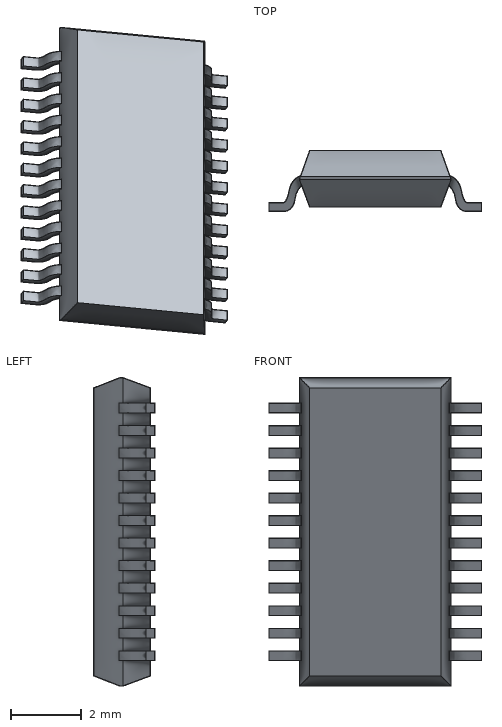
import cadquery as cq
import math

body_width = 4.28
body_length = 8.7
front_depth = 0.78
back_depth = 0.82
side_inset = 0.29
end_inset = 0.29
end_land = 0.08

leads_per_side = 12
lead_pitch = 0.635
lead_width = 0.28
lead_thickness = 0.25
lead_span = 6.0
standoff = 0.12
foot_length = 0.415
foot_bend_radius = 0.18
shoulder_bend_radius = 0.33
lead_angle = math.radians(72)
lead_embed = 0.4

half_width = body_width / 2
half_length = body_length / 2


def make_body():
    """Long sides and short ends are two tapered prisms; the body is what they share."""
    face_half_width = half_width - side_inset
    face_half_length = half_length - end_inset
    sides = (
        cq.Workplane("XY")
        .moveTo(-face_half_width, -front_depth)
        .lineTo(face_half_width, -front_depth)
        .lineTo(half_width, 0)
        .lineTo(face_half_width, back_depth)
        .lineTo(-face_half_width, back_depth)
        .lineTo(-half_width, 0)
        .close()
        .extrude(half_length, both=True)
    )
    ends = (
        cq.Workplane("YZ")
        .moveTo(-front_depth, -face_half_length)
        .lineTo(0, -half_length)
        .lineTo(end_land, -half_length)
        .lineTo(back_depth, -face_half_length)
        .lineTo(back_depth, face_half_length)
        .lineTo(end_land, half_length)
        .lineTo(0, half_length)
        .lineTo(-front_depth, face_half_length)
        .close()
        .extrude(half_width, both=True)
    )
    return sides.intersect(ends)


def make_lead():
    """One lead on the +X side, centred on Z = 0; each bent skin is one smooth curve."""
    half_thickness = lead_thickness / 2
    toe_x = lead_span / 2
    foot_y = -front_depth - standoff + half_thickness
    foot_x = toe_x - foot_length

    bend_radii = foot_bend_radius + shoulder_bend_radius
    shank_rise = -foot_y - bend_radii * (1 - math.cos(lead_angle))
    shank_run = shank_rise / math.tan(lead_angle)
    shoulder_x = foot_x - bend_radii * math.sin(lead_angle) - shank_run
    foot_center_y = foot_y + foot_bend_radius

    def shoulder_point(angle, offset):
        radius = shoulder_bend_radius + offset
        return (
            shoulder_x + radius * math.sin(angle),
            -shoulder_bend_radius + radius * math.cos(angle),
        )

    def foot_point(angle, offset):
        radius = foot_bend_radius - offset
        return (
            foot_x - radius * math.sin(angle),
            foot_center_y - radius * math.cos(angle),
        )

    def bend_points(offset):
        """Points of one skin of the lead, from the shoulder down to the foot."""
        shoulder = [shoulder_point(angle, offset) for angle in (0, lead_angle / 2, lead_angle)]
        foot = [foot_point(angle, offset) for angle in (lead_angle, lead_angle / 2, 0)]
        return shoulder + foot

    root_x = shoulder_x - lead_embed
    upper = bend_points(half_thickness)
    lower = bend_points(-half_thickness)
    lower.reverse()
    outward = (1, 0)
    inward = (-1, 0)
    return (
        cq.Workplane("XY", origin=(0, 0, -lead_width / 2))
        .moveTo(root_x, half_thickness)
        .lineTo(*upper[0])
        .spline(upper[1:], tangents=[outward, outward], includeCurrent=True)
        .lineTo(toe_x, foot_y + half_thickness)
        .lineTo(toe_x, foot_y - half_thickness)
        .lineTo(*lower[0])
        .spline(lower[1:], tangents=[inward, inward], includeCurrent=True)
        .lineTo(root_x, -half_thickness)
        .close()
        .extrude(lead_width)
    )


right_lead = make_lead()
left_lead = right_lead.mirror("YZ")

result = make_body()
for index in range(leads_per_side):
    lead_z = (index - (leads_per_side - 1) / 2) * lead_pitch
    for lead in (left_lead, right_lead):
        result = result.union(lead.translate((0, 0, lead_z)))